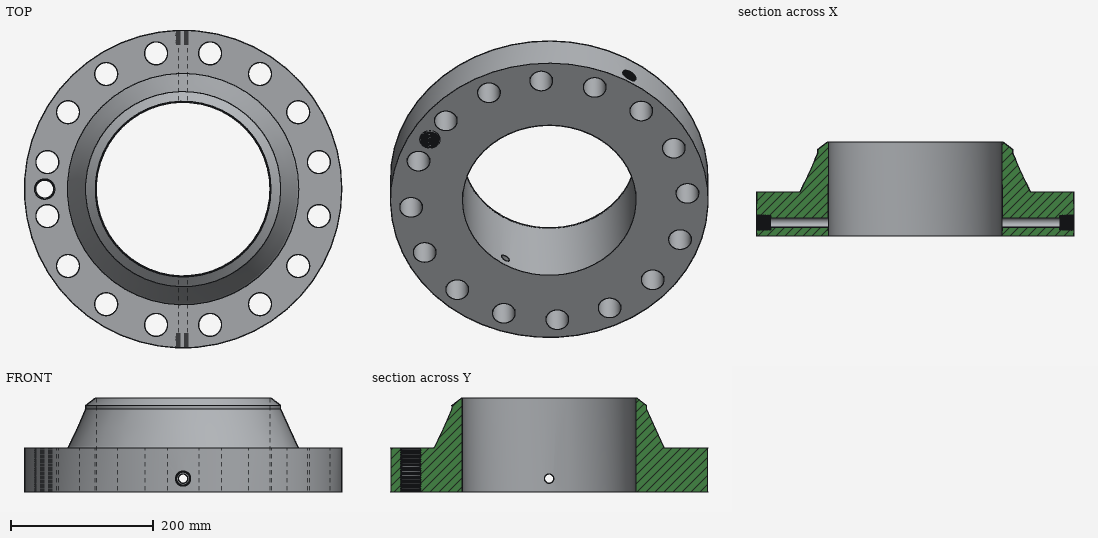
import cadquery as cq
import math

flange_diameter = 444.5
flange_radius = flange_diameter / 2
flange_thickness = 61.9
total_height = 131.88

bore_radius = 242.87 / 2
pipe_radius = 273.05 / 2
root_face = 1.6
bevel_angle = 37.5
land_height = 5.0
hub_base_radius = 160.3
base_blend_width = 1.6
base_blend_height = 2.4

bolt_circle_radius = 387.35 / 2
bolt_count = 16
bolt_hole_diameter = 31.75

jack_major_radius = 28.575 / 2
jack_pitch = 25.4 / 8

tap_height = 19.05
tap_hole_radius = 12.7 / 2
tap_major_radius = 21.34 / 2
tap_pitch = 25.4 / 14
tap_turns = 11
tap_taper = 1 / 32

thread_depth_ratio = 0.6


def make_body():
    """Flange disc and tapered welding neck, revolved around Z."""
    root_radius = bore_radius + root_face
    bevel_height = (pipe_radius - root_radius) * math.tan(math.radians(bevel_angle))
    bevel_start = total_height - bevel_height
    profile = [
        (bore_radius, 0),
        (flange_radius, 0),
        (flange_radius, flange_thickness),
        (hub_base_radius + base_blend_width, flange_thickness),
        (hub_base_radius, flange_thickness + base_blend_height),
        (pipe_radius, bevel_start - land_height),
        (pipe_radius, bevel_start),
        (root_radius, total_height),
        (bore_radius, total_height),
    ]
    return cq.Workplane("XZ").polyline(profile).close().revolve(360, (0, 0), (0, 1))


def make_bolt_holes():
    """Through holes that straddle the X and Y axes."""
    pitch_angle = 360 / bolt_count
    return (
        cq.Workplane("XY")
        .polarArray(bolt_circle_radius, pitch_angle / 2, 360, bolt_count)
        .circle(bolt_hole_diameter / 2)
        .extrude(flange_thickness)
    )


def make_thread_cutter(major_radius, pitch, turns, taper=0.0):
    """Stack of V-grooved rings running along +Z from its wide mouth at Z = 0."""
    depth = thread_depth_ratio * pitch
    points = [(0, 0)]
    for turn in range(turns):
        start = turn * pitch
        middle = start + pitch / 2
        points.append((major_radius - taper * start, start))
        points.append((major_radius - taper * middle - depth, middle))
    length = turns * pitch
    points.append((major_radius - taper * length, length))
    points.append((0, length))
    return cq.Workplane("XZ").polyline(points).close().revolve(360, (0, 0), (0, 1))


def make_jack_hole():
    """Threaded hole running from the top of the flange out through the bottom."""
    turns = math.ceil(flange_thickness / jack_pitch)
    return (
        make_thread_cutter(jack_major_radius, jack_pitch, turns)
        .rotate((0, 0, 0), (1, 0, 0), 180)
        .translate((-bolt_circle_radius, 0, flange_thickness))
    )


def make_tap():
    """Radial hole from -Y into the bore, with a tapered thread at its outer end."""
    hole = (
        cq.Workplane("XZ", origin=(0, 0, tap_height))
        .circle(tap_hole_radius)
        .extrude(flange_radius)
    )
    thread = (
        make_thread_cutter(tap_major_radius, tap_pitch, tap_turns, tap_taper)
        .rotate((0, 0, 0), (1, 0, 0), -90)
        .translate((0, -flange_radius, tap_height))
    )
    return hole.union(thread)


tap = make_tap()
result = make_body().cut(make_bolt_holes()).cut(make_jack_hole())
result = result.cut(tap).cut(tap.mirror("XZ"))